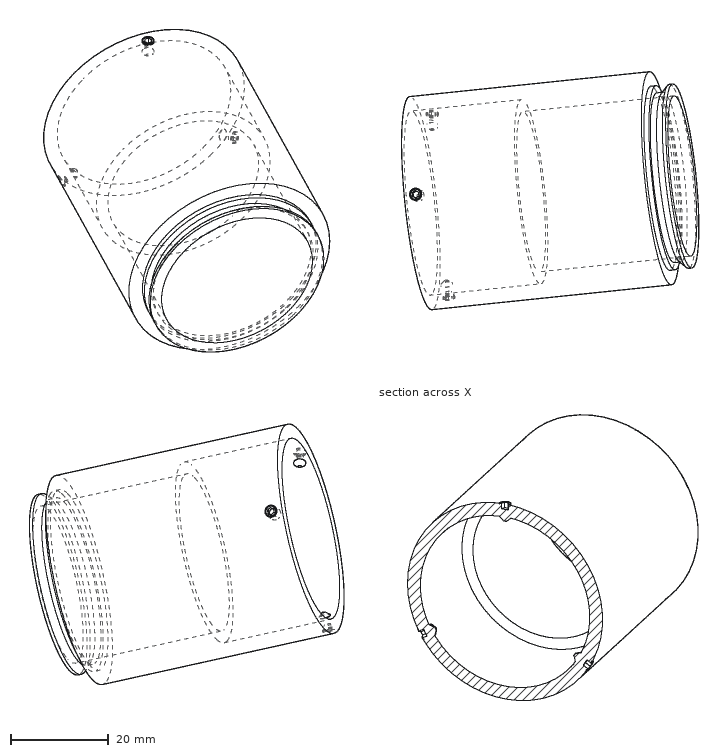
import cadquery as cq

total_length = 54.5
tube_length = 50.0
tube_diameter = 44.0
bore_diameter = 38.0
bore_depth = 23.0
opening_diameter = 33.0

mount_diameter = bore_diameter
neck_diameter = 35.0
collar_end = 51.0
neck_end = 52.3
rim_width = 0.7

screw_count = 3
screw_offset = 2.4
screw_diameter = 2.5
head_diameter = 2.05
socket_across_flats = 1.3
socket_depth = 1.2
shank_projection = 0.1
point_length = 0.85
point_tip_diameter = 0.65

tube_radius = tube_diameter / 2
bore_radius = bore_diameter / 2
screw_radius = screw_diameter / 2
head_radius = head_diameter / 2
head_chamfer = screw_radius - head_radius
shank_bottom = bore_radius - shank_projection
point_bottom = shank_bottom - point_length


def make_body():
    """Revolve the half section of the tube and mount about the X axis."""
    mount_radius = mount_diameter / 2
    neck_radius = neck_diameter / 2
    opening_radius = opening_diameter / 2
    section = (
        cq.Workplane("XY")
        .moveTo(0, bore_radius)
        .lineTo(0, tube_radius)
        .lineTo(tube_length, tube_radius)
        .lineTo(tube_length, mount_radius)
        .lineTo(collar_end, mount_radius)
        .lineTo(collar_end, neck_radius)
        .lineTo(neck_end, neck_radius)
        .lineTo(total_length - rim_width, mount_radius)
        .lineTo(total_length, mount_radius)
        .lineTo(total_length, opening_radius)
        .lineTo(bore_depth, opening_radius)
        .lineTo(bore_depth, bore_radius)
        .close()
    )
    return section.revolve(360, (0, 0, 0), (1, 0, 0))


def make_screw_hole():
    """Radial hole through the top wall of the tube."""
    return (
        cq.Workplane("XY", origin=(screw_offset, 0, shank_bottom))
        .circle(screw_radius)
        .extrude(tube_radius - shank_bottom)
    )


def make_screw():
    """Set screw pointing down, its chamfered and socketed head flush with the tube crest."""
    blank = (
        cq.Workplane("XZ", origin=(screw_offset, 0, 0))
        .moveTo(0, point_bottom)
        .lineTo(point_tip_diameter / 2, point_bottom)
        .lineTo(screw_radius, shank_bottom)
        .lineTo(screw_radius, tube_radius - head_chamfer)
        .lineTo(head_radius, tube_radius)
        .lineTo(0, tube_radius)
        .close()
        .revolve(360, (0, 0, 0), (0, 1, 0))
    )
    socket = (
        cq.Workplane("XY", origin=(screw_offset, 0, tube_radius - socket_depth))
        .polygon(6, socket_across_flats, circumscribed=True)
        .extrude(socket_depth)
    )
    return blank.cut(socket)


result = make_body()
hole = make_screw_hole()
screw = make_screw()
for index in range(screw_count):
    angle = index * 360 / screw_count
    result = result.cut(hole.rotate((0, 0, 0), (1, 0, 0), angle))
    result = result.union(screw.rotate((0, 0, 0), (1, 0, 0), angle))